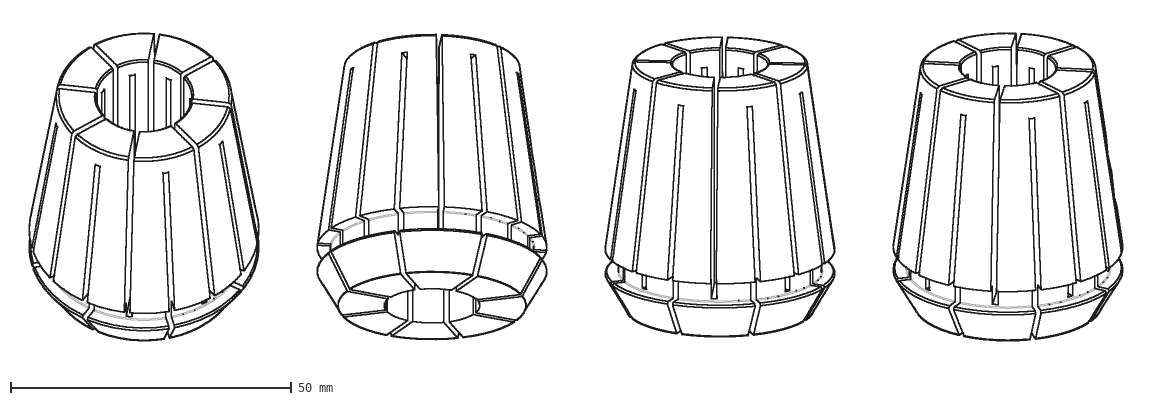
import cadquery as cq
import math

total_height = 46.0
max_radius = 41.0 / 2
bore_radius = 17.0 / 2

taper_angle = 8.0
taper_bottom_z = 11.1

neck_radius = 18.12
groove_corner_radius = 0.2
groove_bottom_z = 7.0

nose_angle = 30.0
rim_z = 6.6
rim_bevel_width = 0.28
nose_land_height = 0.15

top_edge_bevel = 0.4
bore_edge_bevel = 0.3

slit_count = 8
slit_width = 1.0
upper_slit_floor_z = 7.55
lower_slit_roof_z = 42.5

top_radius = max_radius - (total_height - taper_bottom_z) * math.tan(math.radians(taper_angle))
nose_radius = max_radius - (rim_z - nose_land_height) * math.tan(math.radians(nose_angle))
slit_pitch = 360.0 / slit_count


def collet_body():
    """Revolve the half section, bore included, around Z."""
    bevel_start_z = total_height - top_edge_bevel
    bevel_start_radius = top_radius + top_edge_bevel * math.tan(math.radians(taper_angle))
    corner_start_radius = neck_radius + groove_corner_radius
    section = (
        cq.Workplane("XZ")
        .moveTo(bore_radius, 0)
        .lineTo(nose_radius, 0)
        .lineTo(nose_radius, nose_land_height)
        .lineTo(max_radius, rim_z)
        .lineTo(max_radius - rim_bevel_width, groove_bottom_z)
        .lineTo(corner_start_radius, groove_bottom_z)
        .radiusArc((neck_radius, groove_bottom_z + groove_corner_radius), groove_corner_radius)
        .lineTo(neck_radius, taper_bottom_z - groove_corner_radius)
        .radiusArc((corner_start_radius, taper_bottom_z), groove_corner_radius)
        .lineTo(max_radius, taper_bottom_z)
        .lineTo(bevel_start_radius, bevel_start_z)
        .lineTo(top_radius - top_edge_bevel, total_height)
        .lineTo(bore_radius + bore_edge_bevel, total_height)
        .lineTo(bore_radius, total_height - bore_edge_bevel)
        .close()
    )
    return section.revolve(360, (0, 0, 0), (0, 1, 0))


def slits(bottom_z, top_z, first_angle):
    """Ring of radial slits running from the axis out past the largest radius."""
    reach = max_radius + slit_width
    blade = cq.Workplane("XY").box(reach, slit_width, top_z - bottom_z, centered=(False, True, False))
    blade = blade.translate((0, 0, bottom_z))
    ring = cq.Workplane("XY")
    for index in range(slit_count):
        angle = first_angle + index * slit_pitch
        ring = ring.add(blade.rotate((0, 0, 0), (0, 0, 1), angle))
    return ring.combine()


result = collet_body()
result = result.cut(slits(0, lower_slit_roof_z, 0))
result = result.cut(slits(upper_slit_floor_z, total_height, slit_pitch / 2))